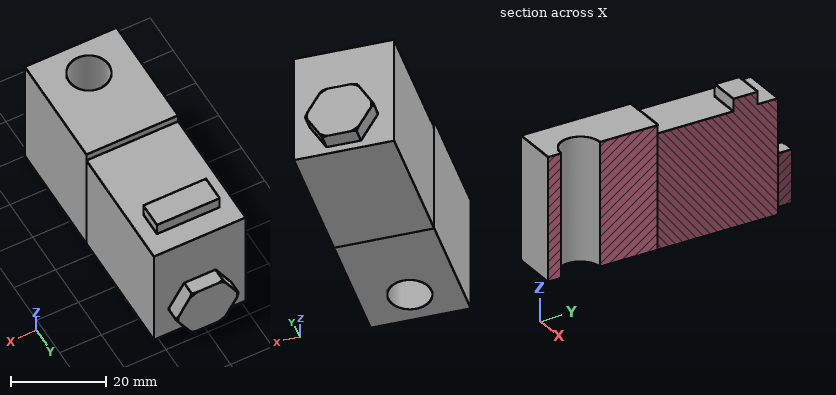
import cadquery as cq
import math

total_length = 60.0
width = 22.0

block_length = 27.0
block_height = 30.0
hole_diameter = 9.5
hole_from_front = 8.0

nut_thickness = 3.5
housing_length = total_length - block_length - nut_thickness
housing_height = 28.0
tab_width = 15.0
tab_length = 6.0
tab_from_rear = 5.05
tab_height = 3.0

nut_across_flats = 13.0
nut_across_corners = nut_across_flats / math.cos(math.radians(30))
nut_center_height = 8.35
nut_face_diameter = 14.05
nut_chamfer_angle = 30.0

housing_rear = block_length + housing_length


def make_block():
    """Front block, drilled through from top to bottom."""
    block = cq.Workplane("XY").box(width, block_length, block_height, centered=(True, False, False))
    hole = cq.Workplane("XY").center(0, hole_from_front).circle(hole_diameter / 2).extrude(block_height)
    return block.cut(hole)


def make_housing():
    """Rear housing, flush with the block underneath and at the sides, with its top tab."""
    housing = (
        cq.Workplane("XY")
        .box(width, housing_length, housing_height, centered=(True, False, False))
        .translate((0, block_length, 0))
    )
    tab = (
        cq.Workplane("XY")
        .box(tab_width, tab_length, tab_height, centered=(True, False, False))
        .translate((0, housing_rear - tab_from_rear - tab_length, housing_height))
    )
    return housing.union(tab)


def make_nut():
    """Hexagon nut whose outer corners are turned off by a cone."""
    hexagon = cq.Workplane("XY").polygon(6, nut_across_corners).extrude(nut_thickness)
    face_radius = nut_face_diameter / 2
    base_radius = face_radius + nut_thickness / math.tan(math.radians(nut_chamfer_angle))
    cone = (
        cq.Workplane("XZ")
        .polyline([(0, 0), (base_radius, 0), (face_radius, nut_thickness), (0, nut_thickness)])
        .close()
        .revolve(360, (0, 0, 0), (0, 1, 0))
    )
    nut = hexagon.intersect(cone)
    return nut.rotate((0, 0, 0), (1, 0, 0), -90).translate((0, housing_rear, nut_center_height))


block = make_block()
housing = make_housing()
nut = make_nut()

result = cq.Compound.makeCompound([block.val(), housing.val(), nut.val()])